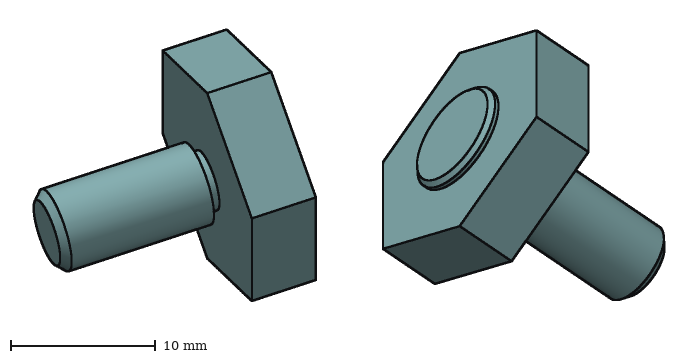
import cadquery as cq

head_across_corners = 18.48
head_thickness = 4.8

pad_diameter = 8.1
pad_height = 0.68
pad_chamfer = 0.37

shank_diameter = 6.0
shank_length = 12.01
tip_chamfer = 0.61
neck_diameter = 4.4
neck_length = 0.74
shank_drop = 0.5


def cylinder_along_y(diameter, start_y, length, axis_z=0):
    """Cylinder parallel to Y at height axis_z, running from start_y toward +Y."""
    return cq.Workplane("XZ", origin=(0, start_y, axis_z)).circle(diameter / 2).extrude(-length)


head = (
    cq.Workplane("XZ")
    .polygon(6, head_across_corners)
    .extrude(-head_thickness)
    .rotate((0, 0, 0), (0, 1, 0), 90)
)

pad = cylinder_along_y(pad_diameter, head_thickness, pad_height)
pad = pad.faces(">Y").chamfer(pad_chamfer)

neck = cylinder_along_y(neck_diameter, -neck_length, neck_length, -shank_drop)

shank = cylinder_along_y(shank_diameter, -shank_length, shank_length - neck_length, -shank_drop)
shank = shank.faces("<Y").chamfer(tip_chamfer)

result = head.union(pad).union(neck).union(shank)